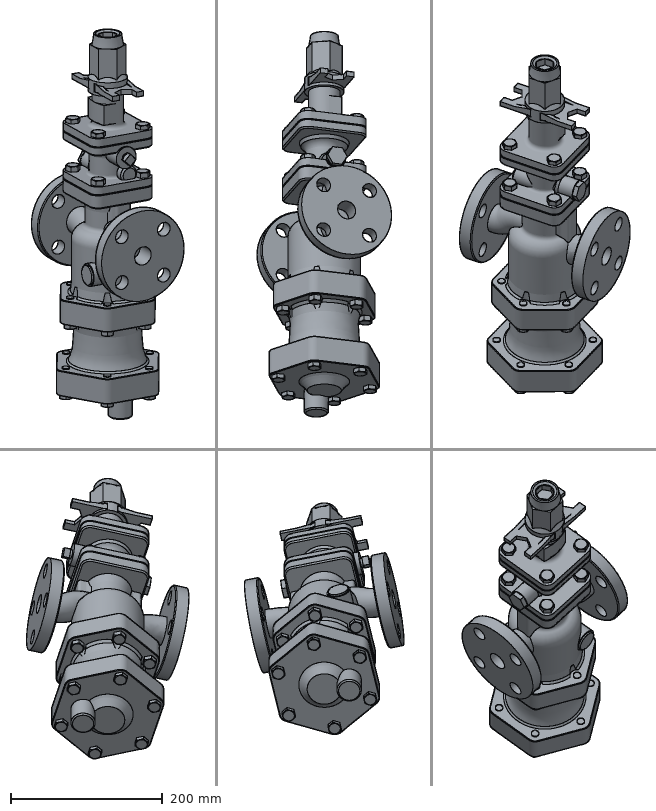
import cadquery as cq
import math


FACE_TO_FACE = 188.0
FLANGE_DIA = 125.0
FLANGE_THICK = 18.0
FLANGE_CHAMFER = 1.5
FLANGE_BOLT_CIRCLE = 90.0
FLANGE_HOLE_DIA = 19.0
BORE_DIA = 25.0
BORE_DEPTH = 30.0
NOZZLE_DIA = 38.5
INLET_REACH = 42.0
INLET_DROP = 14.0
INLET_END_SLOPE = 0.8
OUTLET_STRAIGHT = 3.0
OUTLET_EMBED = 15.0
OUTLET_BEND_RADIUS = 28.0
OUTLET_BEND_ANGLE = 45.0
FLANGE_BACK = FACE_TO_FACE / 2 - FLANGE_THICK

OVERALL_HEIGHT = 522.0
TOP_Z = 282.0
HEX_TOP_Z = 267.0
COLLAR_TOP_Z = 222.0
COLLAR_BOTTOM_Z = 203.0
STEM_FLAT_TOP_Z = 190.5
STEM_BASE_Z = 163.0
UPPER_SQUARE_Z = (130.5, 155.0)
UPPER_SQUARE_JOINT_Z = 143.0
LOWER_SQUARE_Z = (57.0, 88.0)
LOWER_SQUARE_JOINT_Z = 76.5
SHOULDER_TOP_Z = 20.5
NECK_FLARE_Z = 42.5
BODY_TOP_Z = -3.0
BODY_FLARE_Z = -63.0
BONNET_TOP_Z = -126.0
BONNET_FLARE_Z = -151.0
MIDDLE_HEX_Z = (-110.0, -76.5)
BOTTOM_HEX_Z = (-208.0, -173.0)
BOTTOM_Z = TOP_Z - OVERALL_HEIGHT

CAP_TOP_DIA = 37.0
CAP_BASE_DIA = 42.0
CAP_SOCKET_CORNERS = 25.0
CAP_SOCKET_DEPTH = 12.0
CAP_COUNTERSINK_DIA = 32.0
CAP_COUNTERSINK_DEPTH = 2.0
CAP_BULGE = 1.0
CAP_HEX_FLATS = 42.0
COLLAR_DIA = 52.0
COLLAR_CONE_RISE = 6.0
STEM_DIA = 42.0
STEM_FLAT_EDGE_Y = 17.6
STEM_FOOT_FILLET = 6.0
HANDLE_LENGTH = 109.0
HANDLE_WIDTH = 47.0
HANDLE_Z = (207.0, 214.0)
HANDLE_NOTCH_HALF_WIDTH = 12.8
HANDLE_NOTCH_SHOULDER_X = 42.0
HANDLE_NOTCH_TIP_X = 35.0
HANDLE_RIB_X = (7.0, 32.5)
HANDLE_RIB_WIDTH = 6.0
HANDLE_RIB_TOP_Z = 218.5

SQUARE_SIDE = 93.0
SQUARE_CORNER = 13.0
SQUARE_CHAMFER = 2.0
SQUARE_BOLT_OFFSET = 33.8
SQUARE_BOLT_FLATS = 17.0
SQUARE_BOLT_TURN = 15.0
JOINT_GROOVE_HEIGHT = 1.5
JOINT_GROOVE_DEPTH = 0.5
UPPER_HEAD_HEIGHT = 6.0
LOWER_HEAD_HEIGHT = 7.5

UPPER_NECK_DIA = 49.0
UPPER_NECK_FOOT_FILLET = 4.0
UPPER_NECK_FLARE = 9.5
UPPER_NECK_SAG = (2.0, 4.0)
UPPER_NECK_LIP_DIA = 62.07
UPPER_NECK_LIP_DROP = 5.0
UPPER_NECK_TOP_DIA = 66.0
RIGHT_PLUG_Z = 123.5
RIGHT_BOSS_DIA = 30.0
RIGHT_BOSS_END = 49.5
RIGHT_SHANK_DIA = 12.0
RIGHT_SHANK_LENGTH = 3.0
RIGHT_HEAD_SIDE = 12.0
RIGHT_HEAD_LENGTH = 8.5
LEFT_PLUG_Z = 92.0
LEFT_BOSS_DIA = 27.0
LEFT_BOSS_END = 49.5
LEFT_HEAD_CORNERS = 27.0
LEFT_HEAD_LENGTH = 6.5
LEFT_ROOT_DIA = 32.0
LEFT_ROOT_X = 24.0
LEFT_ROOT_LENGTH = 4.0
STUB_DIA = 24.0
STUB_END = 37.0
STUB_Y = 12.0
STUB_Z = 94.0
STUB_CHAMFER = 2.5

LOWER_NECK_DIA = 60.0
LOWER_NECK_TOP_DIA = 64.0
BODY_DIA = 96.0
BODY_SHOULDER_RADIUS = 18.0
BODY_FLARE_DIA = 99.0
BODY_FOOT_DIA = 105.0
FOOT_HEIGHT = 2.5
CHANNEL_OUTER_LEFT = 44.0
CHANNEL_OUTER_RIGHT = 43.0
CHANNEL_WIDTH = 22.0
CHANNEL_CORNER = 4.0
CHANNEL_BLEND_X = (32.5, 26.0)
CHANNEL_BLEND_WIDTH = 30.0
FRONT_BOSS_X = 29.3
FRONT_BOSS_Z = -37.6
FRONT_BOSS_DIA = 31.0
FRONT_BOSS_REACH = 46.0
FRONT_PLUG_DIA = 27.0
FRONT_PLUG_HEIGHT = 2.5
BONNET_DIA = 90.0
BONNET_HEAD_DIA = 94.0
BONNET_HEAD_HEIGHT = 4.0
BONNET_HEAD_FOOT_DIA = 100.0
BONNET_WAIST_DIA = 93.0
BONNET_BELL_DIA = 104.0
BONNET_BELL_SAG = 1.2
BONNET_FOOT_DIA = 109.0

DISH_TOP_DIA = 67.0
DISH_STEPS = ((60.0, 3.0), (55.0, 6.0), (45.0, 12.5))
DRAIN_DIA = 32.0
DRAIN_X = 33.7
DRAIN_CHAMFER = 2.0

MIDDLE_HEX_FLATS = 125.0
MIDDLE_HEX_CORNER = 14.0
MIDDLE_BOLT_RADIUS = 57.0
BOTTOM_HEX_FLATS = 135.0
BOTTOM_HEX_CORNER = 12.5
BOTTOM_BOLT_RADIUS = 63.5
HEX_CHAMFER = 1.0
HEX_BOLT_FLATS = 16.0
HEX_BOLT_TURN = 30.0
BOLT_CROWN_CHAMFER = 1.0
BOLT_CROWN_RATIO = 0.95
STUD_DIA = 10.0
MIDDLE_HEAD_HEIGHT = 7.5
BOTTOM_HEAD_HEIGHT = 6.0
STUD_TIP = 1.5
BODY_SPOTFACE_DIA = 19.0
BONNET_SPOTFACE_DIA = 23.0


def disc(dia, z_bottom, z_top, x=0.0, y=0.0):
    """Vertical cylinder between two levels."""
    return cq.Workplane("XY", origin=(x, y, z_bottom)).circle(dia / 2).extrude(z_top - z_bottom)


def bar_x(dia, x_start, x_end, z=0.0):
    """Cylinder along X between two stations."""
    return cq.Workplane("YZ", origin=(x_start, 0, z)).circle(dia / 2).extrude(x_end - x_start)


def hex_prism(flats, z_bottom, z_top, turn=0.0, x=0.0, y=0.0):
    """Vertical hexagonal prism; with no turn its corners lie on the X axis."""
    prism = cq.Workplane("XY").polygon(6, flats / math.cos(math.pi / 6)).extrude(z_top - z_bottom)
    return prism.rotate((0, 0, 0), (0, 0, 1), turn).translate((x, y, z_bottom))


def bolt_head(flats, z_seat, z_crown, turn, x, y):
    """Hexagonal bolt head with its corners chamfered at the crown."""
    height = abs(z_crown - z_seat)
    corner = flats / math.cos(math.pi / 6) / 2
    crown_inset = corner - BOLT_CROWN_RATIO * flats / 2
    blank = disc(2 * corner, 0, height).faces(">Z").chamfer(BOLT_CROWN_CHAMFER, crown_inset)
    head = hex_prism(flats, 0, height, turn).intersect(blank)
    if z_crown < z_seat:
        head = head.mirror("XY")
    return head.translate((x, y, z_seat))


def ring_points(radius):
    """Six equally spaced places on a circle, two of them on the Y axis."""
    angles = [math.radians(30 + 60 * i) for i in range(6)]
    return [(radius * math.cos(a), radius * math.sin(a)) for a in angles]


def make_cap():
    """Hexagonal cap with a socket in its top and a round collar below."""
    mid_z = (HEX_TOP_Z + TOP_Z) / 2
    cone = (
        cq.Workplane("XZ")
        .moveTo(0, HEX_TOP_Z)
        .lineTo(CAP_BASE_DIA / 2, HEX_TOP_Z)
        .threePointArc((CAP_TOP_DIA / 2 + CAP_BULGE, mid_z), (CAP_TOP_DIA / 2, TOP_Z))
        .lineTo(0, TOP_Z)
        .close()
        .revolve(360, (0, 0, 0), (0, 1, 0))
    )
    nut = hex_prism(CAP_HEX_FLATS, COLLAR_TOP_Z, HEX_TOP_Z)
    collar = disc(COLLAR_DIA, COLLAR_BOTTOM_Z, COLLAR_TOP_Z)
    collar_cone = (
        cq.Workplane("XY", origin=(0, 0, COLLAR_TOP_Z))
        .circle(COLLAR_DIA / 2)
        .workplane(offset=COLLAR_CONE_RISE)
        .circle(CAP_HEX_FLATS / 2)
        .loft()
    )
    socket_flats = CAP_SOCKET_CORNERS * math.cos(math.pi / 6)
    socket = hex_prism(socket_flats, TOP_Z - CAP_SOCKET_DEPTH, TOP_Z)
    countersink = (
        cq.Workplane("XY", origin=(0, 0, TOP_Z))
        .circle(CAP_COUNTERSINK_DIA / 2)
        .workplane(offset=-CAP_COUNTERSINK_DEPTH)
        .circle(CAP_SOCKET_CORNERS / 2)
        .loft()
    )
    cap = cone.union(nut).union(collar).union(collar_cone).cut(socket).cut(countersink)
    flat_z = (HANDLE_Z[0], HANDLE_RIB_TOP_Z)
    trim_x = (COLLAR_DIA / 2 + HANDLE_RIB_X[0]) / 2
    trims = (
        cq.Workplane("XY", origin=(0, 0, flat_z[0]))
        .rect(2 * trim_x, COLLAR_DIA / 2 + HANDLE_WIDTH, forConstruction=True)
        .vertices()
        .rect(COLLAR_DIA / 2 - HANDLE_RIB_X[0], COLLAR_DIA / 2)
        .extrude(flat_z[1] - flat_z[0])
    )
    return cap.cut(trims)


def make_handle():
    """Flat handle with a notch in each end and four sloping ribs."""
    bottom, top = HANDLE_Z
    plate = (
        cq.Workplane("XY", origin=(0, 0, bottom))
        .rect(HANDLE_LENGTH, HANDLE_WIDTH)
        .extrude(top - bottom)
    )
    tip = HANDLE_LENGTH / 2
    for side in (-1, 1):
        notch = (
            cq.Workplane("XY", origin=(0, 0, bottom))
            .moveTo(side * tip, -HANDLE_NOTCH_HALF_WIDTH)
            .lineTo(side * HANDLE_NOTCH_SHOULDER_X, -HANDLE_NOTCH_HALF_WIDTH)
            .lineTo(side * HANDLE_NOTCH_TIP_X, 0)
            .lineTo(side * HANDLE_NOTCH_SHOULDER_X, HANDLE_NOTCH_HALF_WIDTH)
            .lineTo(side * tip, HANDLE_NOTCH_HALF_WIDTH)
            .close()
            .extrude(top - bottom)
        )
        plate = plate.cut(notch)
    inner_x, outer_x = HANDLE_RIB_X
    for side in (-1, 1):
        for rib_y in (HANDLE_WIDTH / 2, -HANDLE_WIDTH / 2 + HANDLE_RIB_WIDTH):
            rib = (
                cq.Workplane("XZ", origin=(0, rib_y, 0))
                .moveTo(side * inner_x, bottom)
                .lineTo(side * outer_x, bottom)
                .lineTo(side * outer_x, top)
                .lineTo(side * inner_x, HANDLE_RIB_TOP_Z)
                .close()
                .extrude(HANDLE_RIB_WIDTH)
            )
            plate = plate.union(rib)
    return plate


def make_stem():
    """Round stem with a squared front flank, filleted into the flange."""
    radius = STEM_DIA / 2
    stem = disc(STEM_DIA, STEM_BASE_Z, COLLAR_BOTTOM_Z)
    flank = (
        cq.Workplane("XY", origin=(0, 0, STEM_BASE_Z))
        .moveTo(-radius, 0)
        .lineTo(-radius, -STEM_FLAT_EDGE_Y)
        .threePointArc((0, -radius), (radius, -STEM_FLAT_EDGE_Y))
        .lineTo(radius, 0)
        .close()
        .extrude(STEM_FLAT_TOP_Z - STEM_BASE_Z)
    )
    flange_top = UPPER_SQUARE_Z[1]
    fillet = STEM_FOOT_FILLET
    knee = fillet * (1 - math.sqrt(0.5))
    foot = (
        cq.Workplane("XZ")
        .moveTo(0, flange_top)
        .lineTo(radius + fillet, flange_top)
        .threePointArc((radius + knee, flange_top + knee), (radius, flange_top + fillet))
        .lineTo(radius, STEM_BASE_Z)
        .lineTo(0, STEM_BASE_Z)
        .close()
        .revolve(360, (0, 0, 0), (0, 1, 0))
    )
    return stem.union(flank).union(foot)


def make_square_flange(levels, joint_z, head_height):
    """Pair of square plates with a recessed joint and four bolts."""
    bottom, top = levels
    plate = (
        cq.Workplane("XY", origin=(0, 0, bottom))
        .rect(SQUARE_SIDE, SQUARE_SIDE)
        .extrude(top - bottom)
        .edges("|Z")
        .fillet(SQUARE_CORNER)
        .faces("<Z")
        .chamfer(SQUARE_CHAMFER)
    )
    groove = (
        cq.Workplane("XY", origin=(0, 0, joint_z - JOINT_GROOVE_HEIGHT / 2))
        .rect(2 * SQUARE_SIDE, 2 * SQUARE_SIDE)
        .extrude(JOINT_GROOVE_HEIGHT)
    )
    inner_side = SQUARE_SIDE - 2 * JOINT_GROOVE_DEPTH
    gasket = (
        cq.Workplane("XY", origin=(0, 0, joint_z - JOINT_GROOVE_HEIGHT / 2))
        .rect(inner_side, inner_side)
        .extrude(JOINT_GROOVE_HEIGHT)
        .edges("|Z")
        .fillet(SQUARE_CORNER - JOINT_GROOVE_DEPTH)
    )
    plate = plate.cut(groove.cut(gasket))
    for x in (-SQUARE_BOLT_OFFSET, SQUARE_BOLT_OFFSET):
        for y in (-SQUARE_BOLT_OFFSET, SQUARE_BOLT_OFFSET):
            crown = top + head_height
            plate = plate.union(bolt_head(SQUARE_BOLT_FLATS, top, crown, SQUARE_BOLT_TURN, x, y))
    return plate


def make_upper_neck():
    radius = UPPER_NECK_DIA / 2
    flange_top = LOWER_SQUARE_Z[1]
    flange_bottom = UPPER_SQUARE_Z[0]
    lip_z = flange_bottom - UPPER_NECK_LIP_DROP
    lip = UPPER_NECK_LIP_DIA / 2
    foot = UPPER_NECK_FOOT_FILLET
    knee = foot * (1 - math.sqrt(0.5))
    return (
        cq.Workplane("XZ")
        .moveTo(0, flange_top)
        .lineTo(radius + foot, flange_top)
        .threePointArc((radius + knee, flange_top + knee), (radius, flange_top + foot))
        .lineTo(radius, lip_z - UPPER_NECK_FLARE)
        .threePointArc((radius + UPPER_NECK_SAG[0], lip_z - UPPER_NECK_SAG[1]), (lip, lip_z))
        .lineTo(UPPER_NECK_TOP_DIA / 2, flange_bottom)
        .lineTo(0, flange_bottom)
        .close()
        .revolve(360, (0, 0, 0), (0, 1, 0))
    )


def make_right_plug():
    boss = bar_x(RIGHT_BOSS_DIA, 0, RIGHT_BOSS_END, RIGHT_PLUG_Z)
    head_x = RIGHT_BOSS_END + RIGHT_SHANK_LENGTH
    shank = bar_x(RIGHT_SHANK_DIA, RIGHT_BOSS_END, head_x, RIGHT_PLUG_Z)
    head = (
        cq.Workplane("YZ", origin=(head_x, 0, RIGHT_PLUG_Z))
        .rect(RIGHT_HEAD_SIDE, RIGHT_HEAD_SIDE)
        .extrude(RIGHT_HEAD_LENGTH)
        .rotate((0, 0, RIGHT_PLUG_Z), (1, 0, RIGHT_PLUG_Z), 45)
    )
    return boss.union(shank).union(head)


def make_left_plug():
    boss = bar_x(LEFT_BOSS_DIA, 0, -LEFT_BOSS_END, LEFT_PLUG_Z)
    root = (
        cq.Workplane("YZ", origin=(-LEFT_ROOT_X, 0, LEFT_PLUG_Z))
        .circle(LEFT_ROOT_DIA / 2)
        .workplane(offset=-LEFT_ROOT_LENGTH)
        .circle(LEFT_BOSS_DIA / 2)
        .loft()
    )
    head = (
        cq.Workplane("YZ", origin=(-LEFT_BOSS_END, 0, LEFT_PLUG_Z))
        .polygon(6, LEFT_HEAD_CORNERS)
        .extrude(-LEFT_HEAD_LENGTH)
    )
    return boss.union(root).union(head)


def make_rear_stub():
    stub = bar_x(STUB_DIA, 0, STUB_END, STUB_Z).faces(">X").chamfer(STUB_CHAMFER)
    return stub.translate((0, STUB_Y, 0))


def make_body():
    """Round body with its shoulder and the neck above it."""
    neck = LOWER_NECK_DIA / 2
    radius = BODY_DIA / 2
    flange_bottom = LOWER_SQUARE_Z[0]
    hex_top = MIDDLE_HEX_Z[1]

    shoulder = BODY_SHOULDER_RADIUS
    shoulder_x = radius - shoulder
    rise = SHOULDER_TOP_Z - BODY_TOP_Z
    inset = neck - shoulder_x
    fillet = (rise**2 + inset**2 - shoulder**2) / (2 * (shoulder - inset))
    tilt = math.atan2(rise, inset + fillet)
    fillet_x = neck + fillet
    shoulder_mid = (shoulder_x + shoulder * math.cos(tilt / 2), BODY_TOP_Z + shoulder * math.sin(tilt / 2))
    junction = (shoulder_x + shoulder * math.cos(tilt), BODY_TOP_Z + shoulder * math.sin(tilt))
    fillet_mid = (fillet_x - fillet * math.cos(tilt / 2), SHOULDER_TOP_Z - fillet * math.sin(tilt / 2))

    shell = (
        cq.Workplane("XZ")
        .moveTo(0, hex_top)
        .lineTo(BODY_FOOT_DIA / 2, hex_top)
        .lineTo(BODY_FLARE_DIA / 2, hex_top + FOOT_HEIGHT)
        .lineTo(radius, BODY_FLARE_Z)
        .lineTo(radius, BODY_TOP_Z)
        .threePointArc(shoulder_mid, junction)
        .threePointArc(fillet_mid, (neck, SHOULDER_TOP_Z))
        .lineTo(neck, NECK_FLARE_Z)
        .lineTo(LOWER_NECK_TOP_DIA / 2, flange_bottom)
        .lineTo(0, flange_bottom)
        .close()
        .revolve(360, (0, 0, 0), (0, 1, 0))
    )
    for x, y in ring_points(MIDDLE_BOLT_RADIUS):
        shell = shell.cut(disc(BODY_SPOTFACE_DIA, hex_top, BODY_FLARE_Z, x, y))
    return shell


def make_channel(side, outer_x):
    """Rounded rib beside the lower neck, spreading where it joins the neck."""
    height = LOWER_SQUARE_Z[0]
    rib = (
        cq.Workplane("XY")
        .center(side * outer_x / 2, 0)
        .rect(outer_x, CHANNEL_WIDTH)
        .extrude(height)
        .edges("|Z")
        .fillet(CHANNEL_CORNER)
    )
    outer, inner = (side * x for x in CHANNEL_BLEND_X)
    narrow = CHANNEL_WIDTH / 2
    wide = CHANNEL_BLEND_WIDTH / 2
    blend_mid_x = (outer + inner) / 2
    blend_mid_y = narrow + (wide - narrow) / 4
    blend = (
        cq.Workplane("XY")
        .moveTo(0, -wide)
        .lineTo(inner, -wide)
        .threePointArc((blend_mid_x, -blend_mid_y), (outer, -narrow))
        .lineTo(outer, narrow)
        .threePointArc((blend_mid_x, blend_mid_y), (inner, wide))
        .lineTo(0, wide)
        .close()
        .extrude(height)
    )
    return rib.union(blend)


def make_front_boss():
    boss = (
        cq.Workplane("XZ", origin=(FRONT_BOSS_X, 0, FRONT_BOSS_Z))
        .circle(FRONT_BOSS_DIA / 2)
        .extrude(FRONT_BOSS_REACH)
    )
    plug = (
        cq.Workplane("XZ", origin=(FRONT_BOSS_X, -FRONT_BOSS_REACH, FRONT_BOSS_Z))
        .circle(FRONT_PLUG_DIA / 2)
        .extrude(FRONT_PLUG_HEIGHT)
    )
    return boss.union(plug)


def make_pipe_flange(side):
    plate = bar_x(FLANGE_DIA, side * FLANGE_BACK, side * FACE_TO_FACE / 2)
    plate = plate.faces("<X" if side > 0 else ">X").chamfer(FLANGE_CHAMFER)
    offset = FLANGE_BOLT_CIRCLE / 2 * math.sqrt(0.5)
    holes = (
        cq.Workplane("YZ", origin=(side * FLANGE_BACK, 0, 0))
        .rect(2 * offset, 2 * offset, forConstruction=True)
        .vertices()
        .circle(FLANGE_HOLE_DIA / 2)
        .extrude(side * FLANGE_THICK)
    )
    return plate.cut(holes)


def make_inlet():
    """Nozzle bending down from the inlet flange into the body."""
    path = (
        cq.Workplane("XZ")
        .moveTo(-FLANGE_BACK, 0)
        .spline(
            [(-FLANGE_BACK + INLET_REACH, -INLET_DROP)],
            tangents=[(1, 0), (1, -INLET_END_SLOPE)],
            includeCurrent=True,
        )
    )
    return cq.Workplane("YZ", origin=(-FLANGE_BACK, 0, 0)).circle(NOZZLE_DIA / 2).sweep(path)


def make_outlet():
    """S-shaped nozzle rising from the outlet flange to the lower neck."""
    a = math.radians(OUTLET_BEND_ANGLE)
    r = OUTLET_BEND_RADIUS
    x0 = FLANGE_BACK - OUTLET_STRAIGHT
    bend_x = r * math.sin(a)
    bend_z = r * (1 - math.cos(a))
    half_x = r * math.sin(a / 2)
    half_z = r * (1 - math.cos(a / 2))
    end_x = x0 - 2 * bend_x
    end_z = 2 * bend_z
    path = (
        cq.Workplane("XZ")
        .moveTo(FLANGE_BACK, 0)
        .lineTo(x0, 0)
        .threePointArc((x0 - half_x, half_z), (x0 - bend_x, bend_z))
        .threePointArc((end_x + half_x, end_z - half_z), (end_x, end_z))
        .lineTo(end_x - OUTLET_EMBED, end_z)
    )
    return cq.Workplane("YZ", origin=(FLANGE_BACK, 0, 0)).circle(NOZZLE_DIA / 2).sweep(path)


def make_hex_flange(flats, corner, levels, bolt_radius, head_height):
    """Hexagonal flange with stud tips on top and bolt heads below."""
    bottom, top = levels
    plate = hex_prism(flats, bottom, top, 30).edges("|Z").fillet(corner)
    plate = plate.faces("<Z or >Z").chamfer(HEX_CHAMFER)
    for x, y in ring_points(bolt_radius):
        plate = plate.union(disc(STUD_DIA, top, top + STUD_TIP, x, y))
        crown = bottom - head_height
        plate = plate.union(bolt_head(HEX_BOLT_FLATS, bottom, crown, HEX_BOLT_TURN, x, y))
    return plate


def make_bonnet():
    """Bell-shaped bonnet between the hexagonal flanges."""
    top = MIDDLE_HEX_Z[0]
    bottom = BOTTOM_HEX_Z[1]
    foot_top = bottom + FOOT_HEIGHT
    bell = BONNET_BELL_DIA / 2
    waist = BONNET_WAIST_DIA / 2
    bell_mid = ((bell + waist) / 2 - BONNET_BELL_SAG, (foot_top + BONNET_FLARE_Z) / 2)
    bonnet = (
        cq.Workplane("XZ")
        .moveTo(0, bottom)
        .lineTo(BONNET_FOOT_DIA / 2, bottom)
        .lineTo(bell, foot_top)
        .threePointArc(bell_mid, (waist, BONNET_FLARE_Z))
        .lineTo(BONNET_DIA / 2, BONNET_TOP_Z)
        .lineTo(BONNET_HEAD_DIA / 2, top - BONNET_HEAD_HEIGHT)
        .lineTo(BONNET_HEAD_FOOT_DIA / 2, top)
        .lineTo(0, top)
        .close()
        .revolve(360, (0, 0, 0), (0, 1, 0))
    )
    for x, y in ring_points(MIDDLE_BOLT_RADIUS):
        bonnet = bonnet.cut(disc(BONNET_SPOTFACE_DIA, BONNET_TOP_Z, top, x, y))
    return bonnet


def make_drain():
    """Stepped dish under the bottom flange with an offset drain pipe."""
    dish_top = BOTTOM_HEX_Z[0]
    profile = cq.Workplane("XZ").moveTo(0, dish_top).lineTo(DISH_TOP_DIA / 2, dish_top)
    for dia, drop in DISH_STEPS:
        profile = profile.lineTo(dia / 2, dish_top - drop)
    deepest_drop = DISH_STEPS[-1][1]
    dish = profile.lineTo(0, dish_top - deepest_drop).close().revolve(360, (0, 0, 0), (0, 1, 0))
    pipe = disc(DRAIN_DIA, BOTTOM_Z, dish_top, DRAIN_X).faces("<Z").chamfer(DRAIN_CHAMFER)
    return dish.union(pipe)


def make_bore(side):
    end = side * FACE_TO_FACE / 2
    return bar_x(BORE_DIA, end - side * BORE_DEPTH, end)


middle_flange = make_hex_flange(
    MIDDLE_HEX_FLATS, MIDDLE_HEX_CORNER, MIDDLE_HEX_Z, MIDDLE_BOLT_RADIUS, MIDDLE_HEAD_HEIGHT
)
bottom_flange = make_hex_flange(
    BOTTOM_HEX_FLATS, BOTTOM_HEX_CORNER, BOTTOM_HEX_Z, BOTTOM_BOLT_RADIUS, BOTTOM_HEAD_HEIGHT
)

result = (
    make_cap()
    .union(make_handle())
    .union(make_stem())
    .union(make_square_flange(UPPER_SQUARE_Z, UPPER_SQUARE_JOINT_Z, UPPER_HEAD_HEIGHT))
    .union(make_upper_neck())
    .union(make_right_plug())
    .union(make_left_plug())
    .union(make_rear_stub())
    .union(make_square_flange(LOWER_SQUARE_Z, LOWER_SQUARE_JOINT_Z, LOWER_HEAD_HEIGHT))
    .union(make_body())
    .union(make_channel(-1, CHANNEL_OUTER_LEFT))
    .union(make_channel(1, CHANNEL_OUTER_RIGHT))
    .union(make_front_boss())
    .union(make_inlet())
    .union(make_outlet())
    .union(make_pipe_flange(-1))
    .union(make_pipe_flange(1))
    .union(middle_flange)
    .union(make_bonnet())
    .union(bottom_flange)
    .union(make_drain())
    .cut(make_bore(-1))
    .cut(make_bore(1))
)